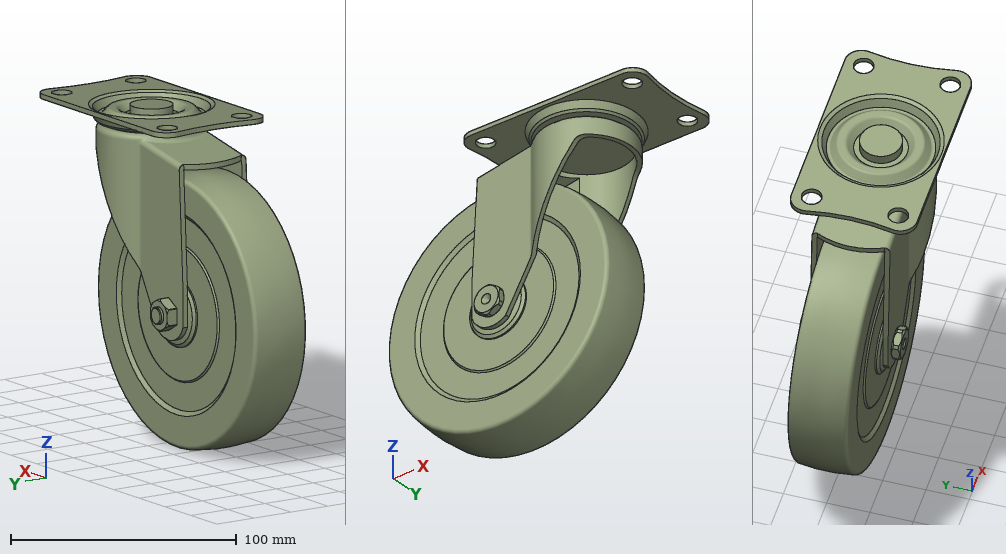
import cadquery as cq
import math

overlap = 1.5

overall_length = 151.5
overall_height = 147.8
plate_length = 100.0
wheel_r = 125.0 / 2
swivel_x = overall_length - wheel_r - plate_length / 2
plate_top_z = overall_height - wheel_r

plate_width = 58.0
plate_t = 2.3
plate_corner_r = 7.5
plate_end_r = 98.5
plate_hole_d = 9.1
plate_hole_pitch_x = 82.0
plate_hole_pitch_y = 40.0
cup_rim_r = 28.0
cup_depth = 7.0
king_pin_r = 9.5
king_boss_r = 12.1
king_boss_drop = 4.5

fork_t = 2.4
fork_half_width = 18.0
leg_end_r = 12.0
crown_r = 24.7
crown_top_z = 77.0
crown_edge_r = 2.7
crown_bottom_z = 66.7
leg_bend_r = 2.4
race_r = 20.8
web_front_x = -8.2
web_front_z = 69.2
web_slope = math.radians(10.7)
web_bulge = 3.0
brace_angle = math.radians(60.3)
brace_offset = 11.2
brace_corner_r = 5.3

tyre_half_width = 14.0
tread_half_width = 12.0
tread_edge_r = 61.7
tyre_face_r = 59.7
recess_outer_r = 46.4
recess_inner_r = 44.4
recess_depth = 1.5
disc_outer_r = 31.5
disc_inner_r = 30.8
disc_rise = 0.8
hub_base_r = 15.6
hub_shoulder_r = 14.1
hub_shoulder_y = 15.0
hub_end_r = 11.5

shank_r = 4.0
shank_end_y = 25.0
shank_chamfer = 0.5
head_t = 4.2
head_flats = 14.0
head_corner_r = 7.5
head_chamfer = 0.9
center_hole_r = 2.5
nut_t = 5.3
nut_flats = 13.0
nut_corner_r = 7.4
nut_chamfer = 0.8


def y_cylinder(radius, y_start, y_end):
    """Round bar on the wheel axis."""
    return cq.Workplane("XZ", origin=(0, y_start, 0)).circle(radius).extrude(y_start - y_end)


def z_cylinder(radius, z_start, z_end):
    """Round bar on the swivel axis."""
    return cq.Workplane("XY", origin=(swivel_x, 0, z_start)).circle(radius).extrude(z_end - z_start)


def y_prism(outline, half_width):
    """Extrude an XZ outline to both sides of the middle plane."""
    return outline.extrude(half_width, both=True)


def make_plate_blank():
    """Flat plate with rounded corners that run smoothly into hollow ends."""
    half_l = plate_length / 2
    half_w = plate_width / 2
    corner_x = half_l - plate_corner_r
    corner_y = half_w - plate_corner_r
    center_gap = plate_end_r + plate_corner_r
    end_angle = math.asin(corner_y / center_gap)
    tangent_x = corner_x + plate_corner_r * math.cos(end_angle)
    tangent_y = corner_y - plate_corner_r * math.sin(end_angle)
    hollow_x = corner_x + center_gap * math.cos(end_angle) - plate_end_r
    mid_angle = (math.pi / 2 - end_angle) / 2
    mid_x = corner_x + plate_corner_r * math.cos(mid_angle)
    mid_y = corner_y + plate_corner_r * math.sin(mid_angle)
    return (
        cq.Workplane("XY", origin=(swivel_x, 0, plate_top_z - plate_t))
        .moveTo(-corner_x, half_w)
        .lineTo(corner_x, half_w)
        .threePointArc((mid_x, mid_y), (tangent_x, tangent_y))
        .threePointArc((hollow_x, 0), (tangent_x, -tangent_y))
        .threePointArc((mid_x, -mid_y), (corner_x, -half_w))
        .lineTo(-corner_x, -half_w)
        .threePointArc((-mid_x, -mid_y), (-tangent_x, -tangent_y))
        .threePointArc((-hollow_x, 0), (-tangent_x, tangent_y))
        .threePointArc((-mid_x, mid_y), (-corner_x, half_w))
        .close()
        .extrude(plate_t)
    )


def make_cup():
    """Pressed bearing cup: a ring channel around a raised inner ring."""
    wall_top = (26.2, -0.9)
    channel_outer = (24.2, -4.5)
    channel_bottom = (23.3, -4.8)
    channel_inner = (22.4, -4.5)
    ring_outer = (19.8, -1.8)
    ring_outer_mid = (19.2, -1.4)
    ring_top_outer = (18.5, -1.2)
    ring_top_inner = (16.7, -1.2)
    ring_inner_mid = (15.6, -1.4)
    ring_inner = (14.8, -1.8)
    under_rim_r = 27.3
    under_wall = (25.6, -5.9)
    under_edge_r = 24.5
    return (
        cq.Workplane("XZ", origin=(swivel_x, 0, plate_top_z))
        .moveTo(cup_rim_r, 0)
        .lineTo(*wall_top)
        .lineTo(*channel_outer)
        .threePointArc(channel_bottom, channel_inner)
        .lineTo(*ring_outer)
        .threePointArc(ring_outer_mid, ring_top_outer)
        .lineTo(*ring_top_inner)
        .threePointArc(ring_inner_mid, ring_inner)
        .lineTo(king_boss_r, -king_boss_drop)
        .lineTo(king_boss_r, -cup_depth)
        .lineTo(under_edge_r, -cup_depth)
        .lineTo(*under_wall)
        .lineTo(under_rim_r, -plate_t)
        .lineTo(cup_rim_r, -plate_t)
        .close()
        .revolve(360, (0, 0, 0), (0, 1, 0))
    )


def make_plate():
    holes = (
        cq.Workplane("XY", origin=(swivel_x, 0, plate_top_z - plate_t))
        .rect(plate_hole_pitch_x, plate_hole_pitch_y, forConstruction=True)
        .vertices()
        .circle(plate_hole_d / 2)
        .extrude(plate_t)
    )
    cup_opening = z_cylinder(cup_rim_r, plate_top_z - plate_t, plate_top_z)
    return make_plate_blank().cut(holes).cut(cup_opening).union(make_cup())


def web_z(x):
    """Height of the sloping upper face of the web."""
    return web_front_z + (x - web_front_x) * math.tan(web_slope)


def make_fork_outside():
    """Solid envelope: round crown and the arm that reaches back over the wheel."""
    front_x = web_front_x - web_bulge
    seam_reach = 0.8
    arm_end_x = swivel_x - math.sqrt(crown_r**2 - fork_half_width**2)
    arm = y_prism(
        cq.Workplane("XZ").polyline([
            (front_x, -leg_end_r),
            (front_x, web_z(front_x)),
            (arm_end_x, web_z(arm_end_x)),
            (arm_end_x, -leg_end_r),
        ]).close(),
        fork_half_width,
    )
    arm = arm.faces(">Z").edges("not |Y").fillet(fork_t)
    crown = z_cylinder(crown_r, -leg_end_r, crown_top_z).faces(">Z").edges().fillet(crown_edge_r)
    outside = arm.union(crown)
    seam = cq.selectors.BoxSelector(
        (arm_end_x - seam_reach, -crown_r, -crown_r),
        (arm_end_x + seam_reach, crown_r, crown_top_z),
    )
    return outside.edges("|Z").edges(seam).fillet(leg_bend_r)


def make_fork_inside():
    """Space under the crown and between the legs, one sheet thickness inside the envelope."""
    drop = fork_t / math.cos(web_slope)
    front_x = web_front_x - web_bulge - overlap
    ceiling_z = crown_top_z - fork_t
    level_x = web_front_x + (ceiling_z + drop - web_front_z) / math.tan(web_slope)
    bottom_z = -leg_end_r - overlap
    arm_space = y_prism(
        cq.Workplane("XZ").polyline([
            (front_x, bottom_z),
            (front_x, web_z(front_x) - drop),
            (level_x, ceiling_z),
            (swivel_x, ceiling_z),
            (swivel_x, bottom_z),
        ]).close(),
        fork_half_width - fork_t,
    )
    return arm_space.union(z_cylinder(crown_r - fork_t, bottom_z, ceiling_z))


def make_fork_side_outline():
    """Side shape of the fork: round leg ends, slanted rear edge and level skirt."""
    top_z = crown_top_z + overlap
    end_x = swivel_x + crown_r + overlap

    normal_angle = brace_angle - math.pi / 2
    leave_angle = normal_angle - math.acos(brace_offset / leg_end_r)
    leave = (leg_end_r * math.cos(leave_angle), leg_end_r * math.sin(leave_angle))

    corner_x = (brace_offset + crown_bottom_z * math.cos(brace_angle)) / math.sin(brace_angle)
    tangent = brace_corner_r * math.tan(brace_angle / 2)
    start = (
        corner_x - tangent * math.cos(brace_angle),
        crown_bottom_z - tangent * math.sin(brace_angle),
    )
    end = (corner_x + tangent, crown_bottom_z)

    return (
        cq.Workplane("XZ")
        .moveTo(-leg_end_r, 0)
        .lineTo(web_front_x, web_front_z)
        .lineTo(web_front_x, top_z)
        .lineTo(end_x, top_z)
        .lineTo(end_x, crown_bottom_z)
        .lineTo(*end)
        .tangentArcPoint(start, relative=False)
        .lineTo(*leave)
        .threePointArc((0, -leg_end_r), (-leg_end_r, 0))
        .close()
    )


def make_web_front():
    """Space kept for the bowed front edge of the web."""
    half_w = fork_half_width - fork_t
    below_web = web_front_z - 2 * fork_t
    return (
        cq.Workplane("XY", origin=(0, 0, below_web))
        .moveTo(web_front_x, -half_w)
        .threePointArc((web_front_x - web_bulge, 0), (web_front_x, half_w))
        .close()
        .extrude(2 * fork_t + overlap)
    )


def make_fork():
    shell = make_fork_outside().cut(make_fork_inside())
    allowed = y_prism(make_fork_side_outline(), crown_r + overlap).union(make_web_front())
    fork = shell.intersect(allowed)
    boss_z = plate_top_z - king_boss_drop
    fork = fork.union(z_cylinder(race_r, crown_top_z - fork_t, plate_top_z - cup_depth))
    fork = fork.union(z_cylinder(king_boss_r, crown_top_z - fork_t, boss_z))
    fork = fork.union(z_cylinder(king_pin_r, crown_top_z - fork_t, plate_top_z))
    return fork.cut(y_cylinder(shank_r, -crown_r, crown_r))


def make_wheel():
    """Revolve half of the section, given as (radius, y), together with its mirror image."""
    recess_y = tyre_half_width - recess_depth
    disc_y = recess_y + disc_rise
    hub_end_y = fork_half_width - fork_t
    shoulder_mid_r = tyre_face_r + (tread_edge_r - tyre_face_r) * math.sin(math.pi / 4)
    shoulder_mid_y = tread_half_width + (tyre_half_width - tread_half_width) * math.sin(math.pi / 4)
    side = [
        (tyre_face_r, tyre_half_width),
        (recess_outer_r, tyre_half_width),
        (recess_inner_r, recess_y),
        (disc_outer_r, recess_y),
        (disc_inner_r, disc_y),
        (hub_base_r, disc_y),
        (hub_base_r, tyre_half_width),
        (hub_shoulder_r, hub_shoulder_y),
        (hub_end_r, hub_end_y),
        (shank_r, hub_end_y),
    ]
    other_side = [(radius, -y) for radius, y in reversed(side)]
    return (
        cq.Workplane("XY")
        .moveTo(tread_edge_r, -tread_half_width)
        .threePointArc((wheel_r, 0), (tread_edge_r, tread_half_width))
        .threePointArc((shoulder_mid_r, shoulder_mid_y), side[0])
        .polyline(side[1:] + other_side, includeCurrent=True)
        .threePointArc((shoulder_mid_r, -shoulder_mid_y), (tread_edge_r, -tread_half_width))
        .close()
        .revolve(360, (0, 0, 0), (0, 1, 0))
    )


def make_hexagon(y_start, y_end, flats):
    """Hexagonal bar on the wheel axis, with corners up and down."""
    corners = flats / math.cos(math.pi / 6)
    return (
        cq.Workplane("XZ", origin=(0, y_start, 0))
        .transformed(rotate=(0, 0, 90))
        .polygon(6, corners)
        .extrude(y_start - y_end)
    )


def make_bolt():
    head_y = -fork_half_width - head_t
    rounding = y_cylinder(head_corner_r, head_y, -fork_half_width).edges().chamfer(head_chamfer)
    head = make_hexagon(head_y, -fork_half_width, head_flats).intersect(rounding)
    shank = y_cylinder(shank_r, -fork_half_width, shank_end_y).faces(">Y").edges().chamfer(shank_chamfer)
    center_hole = cq.Workplane(
        cq.Solid.makeCone(center_hole_r, 0, center_hole_r, cq.Vector(0, head_y, 0), cq.Vector(0, 1, 0))
    )
    return head.union(shank).cut(center_hole)


def make_nut():
    nut_y = fork_half_width + nut_t
    rounding = y_cylinder(nut_corner_r, fork_half_width, nut_y).faces(">Y").edges().chamfer(nut_chamfer)
    nut = make_hexagon(fork_half_width, nut_y, nut_flats).intersect(rounding)
    return nut.cut(y_cylinder(shank_r, fork_half_width, nut_y))


plate = make_plate()
fork = make_fork()
wheel = make_wheel()
bolt = make_bolt()
nut = make_nut()

result = cq.Compound.makeCompound([plate.val(), fork.val(), wheel.val(), bolt.val(), nut.val()])